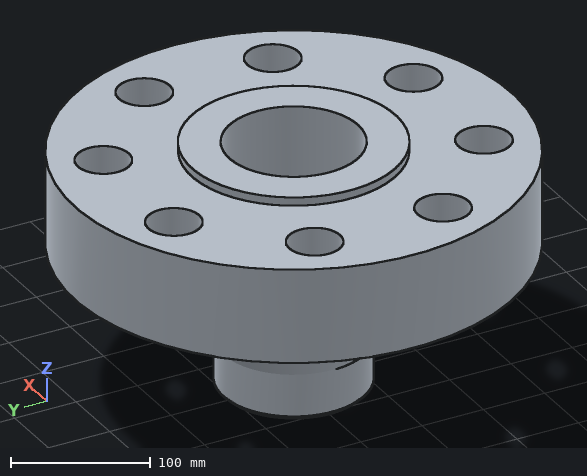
import cadquery as cq

flange_diameter = 355.5
flange_thickness = 76.0
face_diameter = 165.7
face_height = 6.8
hub_base_diameter = 165.0
hub_height = 76.0
neck_diameter = 115.0
neck_height = 38.0
bevel_width = 4.5
bevel_height = 4.3
bore_diameter = 104.5

bolt_count = 8
bolt_hole_diameter = 41.2
bolt_circle_diameter = 273.8
bolt_start_angle = 180.0 / bolt_count

flange_bottom = neck_height + hub_height
flange_top = flange_bottom + flange_thickness
face_top = flange_top + face_height


def flange_body():
    """Revolve the bored profile: bevelled neck, tapered hub, flange and raised face."""
    profile = [
        (bore_diameter / 2, 0),
        (neck_diameter / 2 - bevel_width, 0),
        (neck_diameter / 2, bevel_height),
        (neck_diameter / 2, neck_height),
        (hub_base_diameter / 2, flange_bottom),
        (flange_diameter / 2, flange_bottom),
        (flange_diameter / 2, flange_top),
        (face_diameter / 2, flange_top),
        (face_diameter / 2, face_top),
        (bore_diameter / 2, face_top),
    ]
    return cq.Workplane("XZ").polyline(profile).close().revolve(360, (0, 0, 0), (0, 1, 0))


def bolt_holes():
    """Ring of cylinders that pass through the flange."""
    return (
        cq.Workplane("XY", origin=(0, 0, flange_bottom))
        .polarArray(bolt_circle_diameter / 2, bolt_start_angle, 360, bolt_count)
        .circle(bolt_hole_diameter / 2)
        .extrude(flange_thickness)
    )


result = flange_body().cut(bolt_holes())